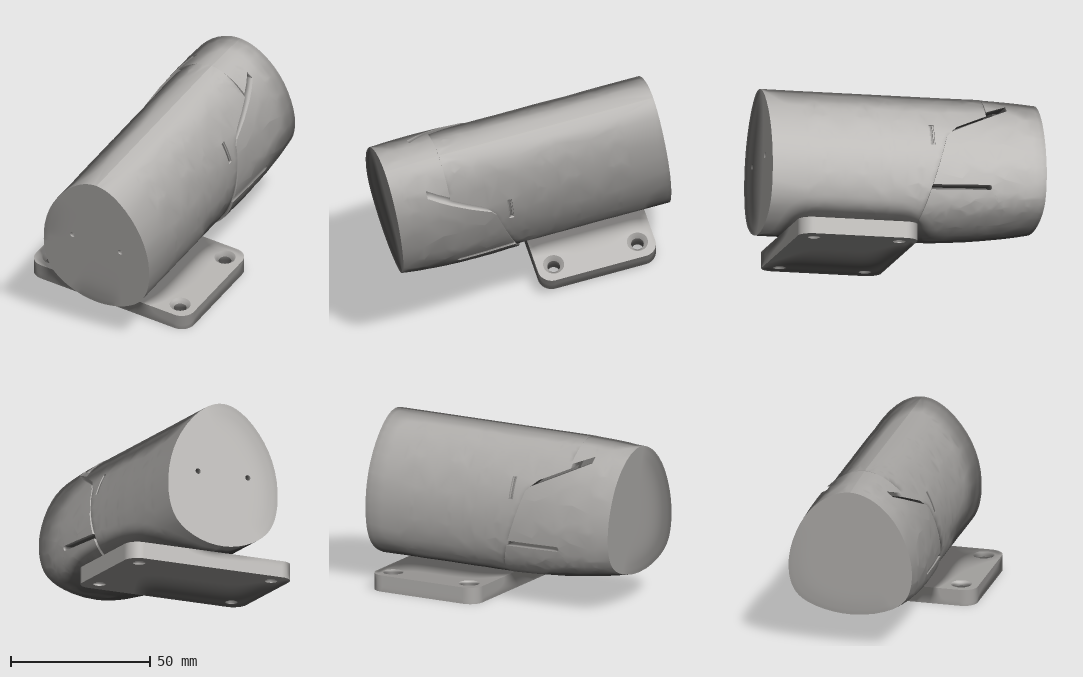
import cadquery as cq

plate_width = 65.9
plate_length = 43.9
plate_thickness = 6.0
plate_corner_radius = 5.0
plate_rear = 7.9
screw_spacing_x = 53.0
screw_spacing_y = 31.4
screw_hole_diameter = 4.5
countersink_diameter = 7.6
countersink_angle = 90.0

egg_half_width = 22.0
egg_bottom = plate_thickness
egg_top = 59.0
shoulder_y = 80.5
nose_inset = 4.7
neck_inset = 6.3
core_start_y = 40.3
neck_length = 4.5
flange_length = 2.5
nose_end_y = shoulder_y + neck_length + flange_length

pilot_diameter = 2.0
pilot_spacing = 19.9
pilot_z = 32.7
pilot_depth = 5.0

grip_y = 59.3
grip_steps = [(1.8, 0.5), (0.8, 1.0)]
grip_bottom = 37.6
grip_top = 45.3

total_length = 100.8
bore_end_clearance = 1.2
bore_end_y = nose_end_y + bore_end_clearance
cap_sections = [
    (50.4, 22.0, 6.2, 59.0),
    (66.5, 23.0, 6.9, 59.0),
    (shoulder_y, 23.5, 8.2, 58.8),
    (total_length, 22.9, 11.4, 57.7),
]

rim_foot = (52.0, 0.0)
rim_shoulder = (64.8, 41.0)
rim_knee = (66.4, 42.8)
rim_slope = 0.456
slot_end_y = 88.5
slot_height_at_end = 1.9
tongue_corner_z = 51.8
housing_gap_corner_z = 50.3
housing_gap_start = (69.0, 45.1)
above_egg = egg_top + 5.0
cut_half_width = plate_width / 2

side_slot_width = 1.8
side_slot_end_y = shoulder_y
side_slot_end_z = 22.3
side_slot_tilt = 1.6
side_slot_length = 30.2

housing_profile = [(0.5, 0.044), (0.84, 0.148), (1.0, 0.37), (0.93, 0.606), (0.605, 0.852)]
cap_profile = [(0.55, 0.044), (0.87, 0.14), (1.0, 0.34), (0.91, 0.6), (0.605, 0.852)]


def egg_wire(profile, y, half_width, bottom, top):
    """Closed egg outline in the plane at the given Y: two mirrored flanks, level at bottom and top."""
    height = top - bottom
    flanks = []
    for side in (-1, 1):
        outer_points = [cq.Vector(side * u * half_width, y, bottom + v * height) for u, v in profile]
        points = [cq.Vector(0, y, bottom), *outer_points, cq.Vector(0, y, top)]
        level_ends = [cq.Vector(side, 0, 0), cq.Vector(-side, 0, 0)]
        flanks.append(cq.Edge.makeSpline(points, tangents=level_ends, scale=False))
    return cq.Wire.assembleEdges(flanks)


def egg_prism(inset, y_start, y_end):
    """Straight egg section, inset from the housing outline on every side."""
    outline = egg_wire(
        housing_profile, y_start, egg_half_width - inset, egg_bottom + inset, egg_top - inset
    )
    length = cq.Vector(0, y_end - y_start, 0)
    return cq.Workplane(obj=cq.Solid.extrudeLinear(outline, [], length))


def side_region(points):
    """Prism along X, wider than the part, with a (Y, Z) outline."""
    return cq.Workplane("YZ").polyline(points).close().extrude(cut_half_width, both=True)


def make_plate():
    plate = (
        cq.Workplane("XY", origin=(0, plate_rear + plate_length / 2, 0))
        .rect(plate_width, plate_length)
        .extrude(plate_thickness)
        .edges("|Z")
        .fillet(plate_corner_radius)
    )
    return (
        plate.faces(">Z")
        .workplane(origin=(0, plate_rear + plate_length / 2, plate_thickness))
        .rect(screw_spacing_x, screw_spacing_y, forConstruction=True)
        .vertices()
        .cskHole(screw_hole_diameter, countersink_diameter, countersink_angle)
    )


def grip_groove(side, width, depth):
    """One step of the groove on one flank, its floor following the egg outline."""
    return (
        cq.Workplane("XY")
        .box(egg_half_width, width, grip_top - grip_bottom)
        .translate((side * egg_half_width, grip_y, (grip_top + grip_bottom) / 2))
        .cut(egg_prism(depth, grip_y - width, grip_y + width))
    )


def make_housing():
    behind_rim = side_region([
        (0, 0),
        (0, above_egg),
        (shoulder_y, above_egg),
        (shoulder_y, housing_gap_corner_z),
        housing_gap_start,
        rim_knee,
        rim_shoulder,
        rim_foot,
    ])
    neck_end_y = shoulder_y + neck_length
    body = egg_prism(0, 0, shoulder_y).intersect(behind_rim)
    body = body.union(egg_prism(nose_inset, core_start_y, shoulder_y))
    body = body.union(egg_prism(neck_inset, core_start_y, nose_end_y))
    body = body.union(egg_prism(nose_inset, neck_end_y, nose_end_y))
    pilots = (
        cq.Workplane("XZ")
        .pushPoints([(side * pilot_spacing / 2, pilot_z) for side in (-1, 1)])
        .circle(pilot_diameter / 2)
        .extrude(-pilot_depth)
    )
    body = body.cut(pilots)
    for side in (-1, 1):
        for width, depth in grip_steps:
            body = body.cut(grip_groove(side, width, depth))
    return body


def side_slot():
    """Round-ended slot through both flanks of the cap, open at the rim."""
    return (
        cq.Workplane("YZ")
        .center(side_slot_end_y - side_slot_length / 2, 0)
        .slot2D(side_slot_length, side_slot_width)
        .extrude(cut_half_width, both=True)
        .rotate((0, side_slot_end_y, 0), (1, side_slot_end_y, 0), side_slot_tilt)
        .translate((0, 0, side_slot_end_z))
    )


def make_cap():
    slot_floor_end_z = rim_knee[1] + rim_slope * (slot_end_y - rim_knee[0])
    ahead_of_rim = side_region([
        rim_foot,
        rim_shoulder,
        rim_knee,
        (slot_end_y, slot_floor_end_z),
        (slot_end_y, slot_floor_end_z + slot_height_at_end),
        (shoulder_y, tongue_corner_z),
        (shoulder_y, above_egg),
        (total_length, above_egg),
        (total_length, 0),
    ])
    shell = cq.Solid.makeLoft([egg_wire(cap_profile, *section) for section in cap_sections])
    bore = egg_prism(nose_inset, 0, bore_end_y)
    return cq.Workplane(obj=shell).intersect(ahead_of_rim).cut(bore).cut(side_slot())


plate = make_plate()
housing = make_housing()
cap = make_cap()
result = cq.Compound.makeCompound([body.solids().val() for body in (plate, housing, cap)])